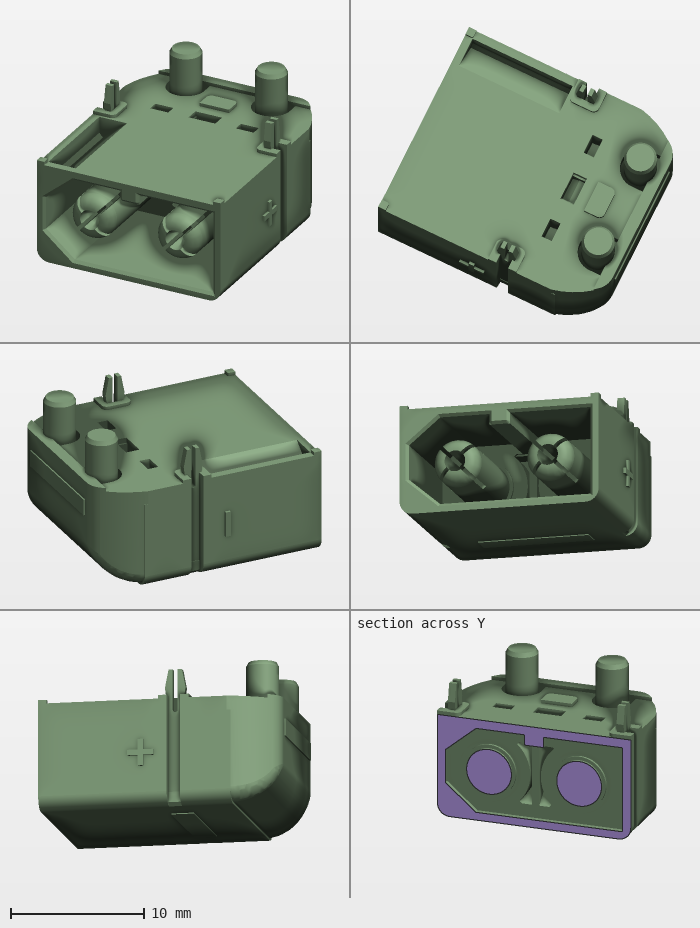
import cadquery as cq
import math


WIDTH = 15.5
HALF_WIDTH = WIDTH / 2
LENGTH = 18.19
DECK_Z = 8.1
RAISED_Z = 8.38
CORNER_RADIUS = 1.0
SHOULDER_Y = 14.71
SHOULDER_Z = 7.03

CAP_START_Y = 14.42
CAP_BOTTOM_Z = 0.18
CAP_BEND_Z = 3.15
CAP_EDGE_MARGIN = 0.04
CAP_BACK_HALF_WIDTH = 5.6
CAP_BACK_RADIUS = 1.55
CAP_FLANK_POINT = (7.23, 15.98)
CAP_BEND_POINT = (17.05, 1.19)
RIM_Y = 17.3

CAVITY_HALF_WIDTH = 7.28
CAVITY_BOTTOM_Z = 0.44
CAVITY_TOP_Z = 7.58
CAVITY_DEPTH = 9.52
CAVITY_BEVEL_X = -4.72
CAVITY_BEVEL_LOW_Z = 2.6
CAVITY_BEVEL_HIGH_Z = 5.45
KEY_HALF_WIDTH = 0.57
KEY_BOTTOM_Z = 6.75
LEAD_IN = 0.22

POLE_X = 3.6
CONTACT_Z = 4.03
CONTACT_RADIUS = 1.81
CONTACT_TIP_Y = 0.6
CONTACT_TIP_ROUND = 0.99
CONTACT_BORE_RADIUS = 0.8
CONTACT_BORE_DEPTH = 4.58
CONTACT_BORE_CONE_DEPTH = 0.45
CONTACT_SLIT_WIDTH = 0.31
CONTACT_SLIT_DEPTH = 3.66
COLLAR_RADIUS = 2.09
COLLAR_HEIGHT = 0.18
BARREL_STEP_Y = 12.32
BARREL_END_Y = 13.72
BARREL_RADIUS = 1.9
PIN_RADIUS = 1.25
PIN_Y = 16.32
PIN_TOP_Z = 11.38
PIN_CHAMFER_RADIAL = 0.18
PIN_CHAMFER_HEIGHT = 0.33
WELL_RADIUS = 1.54
PIN_FLARE_HEIGHT = 0.55
PIN_FLARE_LAND = 0.02

RECESS_FOOT_HALF_WIDTH = 1.26
RECESS_TOP_HALF_WIDTH = 1.48
RECESS_CORNER = 0.18
RECESS_BOTTOM_Z = 1.68
RECESS_TOP_Z = 6.57
RECESS_DEPTH = 1.83
RECESS_STEP_DEPTH = 0.18
RECESS_SIDE_RADIUS = 3.18
RAMP_HEIGHT = 1.54
WEB_WIDTH = 0.59
WEB_TOP_Z = 6.42

GROOVE_START_Y = 0.62
GROOVE_END_Y = 8.97
GROOVE_OUTER_X = -7.1
GROOVE_INNER_X = -4.78
GROOVE_ROOT_X = -6.8
GROOVE_ROOT_Z = 6.42
GROOVE_WALL_FOOT_Z = 6.77

WINDOW_FRONT_Y = 11.97
SIDE_WINDOW_WIDTH = 1.52
SIDE_WINDOW_LENGTH = 0.85
SIDE_WINDOW_BOTTOM_Z = 4.75
MIDDLE_WINDOW_WIDTH = 2.25
MIDDLE_WINDOW_FOOT_WIDTH = 1.94
MIDDLE_WINDOW_LEDGE_Z = 7.69
MIDDLE_WINDOW_BACK_Y = 13.07
MIDDLE_WINDOW_STEP_Y = 12.54
MIDDLE_WINDOW_STEP_Z = 7.2
MIDDLE_WINDOW_BOTTOM_Z = 6.77

CORNER_PAD = 0.62
CORNER_PAD_ROUND = 0.15
CENTRE_PAD_WIDTH = 2.49
CENTRE_PAD_FRONT_Y = 13.98
CENTRE_PAD_LENGTH = 1.52
LOCK_PAD_DEPTH = 1.83
LOCK_PAD_LENGTH = 2.36
PAD_ROUND = 0.44

LOCK_Y = 10.34
LOCK_OUTER_X = 7.03
LOCK_THICKNESS = 0.57
LOCK_TOP_Z = 10.45
LOCK_BULGE_Z = 9.04
LOCK_TOP_HALF = 0.51
LOCK_BULGE_HALF = 0.79
LOCK_ROOT_HALF = 0.7
LOCK_SLIT_WIDTH = 0.38
LOCK_SLIT_BOTTOM_Z = 7.17
NOTCH_WIDTH = 1.0
NOTCH_FLOOR_X = 7.08
NOTCH_SILL_Z = 1.06
NOTCH_FOOT_CHAMFER = 0.27

MARK_Y = 7.85
MARK_LENGTH = 2.03
MARK_WIDTH = 0.42
MARK_HEIGHT = 0.2
REAR_LABEL_WIDTH = 9.25
REAR_LABEL_BOTTOM_Z = 5.53
REAR_LABEL_TOP_Z = 6.85
REAR_LABEL_HEIGHT = 0.11
BASE_LABEL_WIDTH = 8.6
BASE_LABEL_LENGTH = 1.72
BASE_LABEL_HEIGHT = 0.07


def block(x_range, y_range, z_range):
    """Box given by its limits along X, Y and Z."""
    lows, highs = zip(x_range, y_range, z_range)
    sizes = [high - low for low, high in zip(lows, highs)]
    return cq.Workplane("XY").box(*sizes, centered=False).translate(lows)


def centred(middle, size):
    """Limits of a length placed symmetrically about a middle."""
    return (middle - size / 2, middle + size / 2)


def rod(x, y_start, y_end, radius):
    """Cylinder along Y at the height of the contacts."""
    plane = cq.Workplane("XZ", origin=(x, y_start, CONTACT_Z))
    return plane.circle(radius).extrude(y_start - y_end)


def prism_along_y(points, y_start, y_end, taper=0):
    """Polygon given in X and Z, extruded towards +Y."""
    plane = cq.Plane(origin=(0, y_start, 0), xDir=(-1, 0, 0), normal=(0, 1, 0))
    mirrored = [(-x, z) for x, z in points]
    return cq.Workplane(plane).polyline(mirrored).close().extrude(y_end - y_start, taper=taper)


def both_sides(solid):
    """The solid together with its mirror image across X = 0."""
    return solid.union(solid.mirror("YZ"))


def rear_cap():
    """Rear end: rounded in plan, with its back bent into the underside."""
    flank_x, flank_y = CAP_FLANK_POINT
    plan = (
        cq.Workplane("XY")
        .moveTo(-HALF_WIDTH, CAP_START_Y)
        .threePointArc((-flank_x, flank_y), (-CAP_BACK_HALF_WIDTH, LENGTH))
        .lineTo(CAP_BACK_HALF_WIDTH, LENGTH)
        .threePointArc((flank_x, flank_y), (HALF_WIDTH, CAP_START_Y))
        .close()
        .extrude(RAISED_Z)
        .edges("|Z and >Y")
        .fillet(CAP_BACK_RADIUS)
    )
    side = (
        cq.Workplane("YZ")
        .moveTo(CAP_START_Y, CAP_BOTTOM_Z)
        .lineTo(SHOULDER_Y, CAP_BOTTOM_Z)
        .threePointArc(CAP_BEND_POINT, (LENGTH, CAP_BEND_Z))
        .lineTo(LENGTH, RAISED_Z)
        .lineTo(RIM_Y, RAISED_Z)
        .lineTo(RIM_Y, DECK_Z)
        .lineTo(CAP_START_Y, DECK_Z)
        .close()
        .extrude(WIDTH, both=True)
    )
    cap = plan.intersect(side)
    lower_outline = cq.selectors.BoxSelector(
        (-WIDTH, CAP_START_Y + CAP_EDGE_MARGIN, 0),
        (WIDTH, LENGTH - CAP_EDGE_MARGIN, CAP_BEND_Z),
    )
    return cap.edges(lower_outline).fillet(CORNER_RADIUS)


def housing_shell():
    """Main block with rounded lower edges, joined to the rear cap."""
    lower = block((-HALF_WIDTH, HALF_WIDTH), (0, SHOULDER_Y), (0, SHOULDER_Z))
    lower = lower.edges("|Y and <Z").fillet(CORNER_RADIUS)
    upper = block((-HALF_WIDTH, HALF_WIDTH), (0, CAP_START_Y), (SHOULDER_Z, DECK_Z))
    return lower.union(upper).union(rear_cap())


def cavity():
    """Keyed mating opening with a lead-in chamfer."""
    def outline(inset):
        bevel_rise = CAVITY_TOP_Z - CAVITY_BEVEL_HIGH_Z
        bevel_run = CAVITY_HALF_WIDTH + CAVITY_BEVEL_X
        bevel_angle = math.atan2(bevel_rise, bevel_run)
        corner_x = inset * math.tan(bevel_angle / 2)
        corner_z = inset * math.tan((math.pi / 2 - bevel_angle) / 2)
        side = CAVITY_HALF_WIDTH - inset
        bottom = CAVITY_BOTTOM_Z + inset
        top = CAVITY_TOP_Z - inset
        key = KEY_HALF_WIDTH + inset
        return [
            (CAVITY_BEVEL_X + corner_x, bottom),
            (side, bottom),
            (side, top),
            (key, top),
            (key, KEY_BOTTOM_Z - inset),
            (-key, KEY_BOTTOM_Z - inset),
            (-key, top),
            (CAVITY_BEVEL_X + corner_x, top),
            (-side, CAVITY_BEVEL_HIGH_Z - corner_z),
            (-side, CAVITY_BEVEL_LOW_Z + corner_z),
        ]

    lead_in = prism_along_y(outline(0), 0, LEAD_IN, taper=45)
    return lead_in.union(prism_along_y(outline(LEAD_IN), 0, CAVITY_DEPTH))


def insulating_recess():
    """Waisted recess in the cavity floor: shallow head, ramp at its foot and a central web."""
    end_y = CAVITY_DEPTH + RECESS_DEPTH
    y_range = (CAVITY_DEPTH, end_y)
    half = [
        (RECESS_FOOT_HALF_WIDTH - RECESS_CORNER, RECESS_BOTTOM_Z),
        (RECESS_FOOT_HALF_WIDTH, RECESS_BOTTOM_Z + RECESS_CORNER),
        (RECESS_TOP_HALF_WIDTH, RECESS_TOP_Z - RECESS_CORNER),
        (RECESS_TOP_HALF_WIDTH - RECESS_CORNER, RECESS_TOP_Z),
    ]
    recess = prism_along_y(half + [(-x, z) for x, z in reversed(half)], *y_range)
    for x in (-POLE_X, POLE_X):
        recess = recess.cut(rod(x, CAVITY_DEPTH, end_y, RECESS_SIDE_RADIUS))
    ramp = (
        cq.Workplane("YZ")
        .moveTo(CAVITY_DEPTH, RECESS_BOTTOM_Z)
        .lineTo(end_y, RECESS_BOTTOM_Z)
        .lineTo(end_y, RECESS_BOTTOM_Z + RAMP_HEIGHT)
        .close()
        .extrude(RECESS_TOP_HALF_WIDTH, both=True)
    )
    web = block(centred(0, WEB_WIDTH), y_range, (RECESS_BOTTOM_Z, WEB_TOP_Z))
    step_y = (CAVITY_DEPTH + RECESS_STEP_DEPTH, end_y)
    step = block(centred(0, 2 * RECESS_TOP_HALF_WIDTH), step_y, (WEB_TOP_Z, RECESS_TOP_Z))
    return recess.cut(ramp).cut(web).cut(step)


def bevel_groove():
    """Groove in the deck that follows the beveled corner of the cavity."""
    section = [
        (GROOVE_OUTER_X, DECK_Z),
        (GROOVE_INNER_X, DECK_Z),
        (GROOVE_ROOT_X, GROOVE_ROOT_Z),
        (GROOVE_OUTER_X, GROOVE_WALL_FOOT_Z),
    ]
    return prism_along_y(section, GROOVE_START_Y, GROOVE_END_Y)


def deck_windows():
    """Two windows over the contact barrels and a stepped one between them."""
    side = block(
        centred(POLE_X, SIDE_WINDOW_WIDTH),
        (WINDOW_FRONT_Y, WINDOW_FRONT_Y + SIDE_WINDOW_LENGTH),
        (SIDE_WINDOW_BOTTOM_Z, DECK_Z),
    )
    middle = (
        cq.Workplane("YZ")
        .moveTo(WINDOW_FRONT_Y, DECK_Z)
        .lineTo(MIDDLE_WINDOW_BACK_Y, DECK_Z)
        .lineTo(MIDDLE_WINDOW_BACK_Y, MIDDLE_WINDOW_STEP_Z)
        .lineTo(MIDDLE_WINDOW_STEP_Y, MIDDLE_WINDOW_STEP_Z)
        .lineTo(WINDOW_FRONT_Y, MIDDLE_WINDOW_BOTTOM_Z)
        .close()
        .extrude(MIDDLE_WINDOW_FOOT_WIDTH / 2, both=True)
    )
    mouth = block(
        centred(0, MIDDLE_WINDOW_WIDTH),
        (WINDOW_FRONT_Y, MIDDLE_WINDOW_BACK_Y),
        (MIDDLE_WINDOW_LEDGE_Z, DECK_Z),
    )
    return both_sides(side).union(middle).union(mouth)


def pin_wells():
    """Round-ended clearances in the deck around the solder pins, closed by the rear rim."""
    z_range = (SHOULDER_Z, RAISED_Z)
    well = cq.Workplane("XY", origin=(POLE_X, PIN_Y, SHOULDER_Z)).circle(WELL_RADIUS)
    well = well.extrude(RAISED_Z - SHOULDER_Z)
    well = well.union(block(centred(POLE_X, 2 * WELL_RADIUS), (PIN_Y, RIM_Y), z_range))
    limit = block((0, HALF_WIDTH), (0, RIM_Y), z_range)
    return both_sides(well.intersect(limit))


def solder_pins():
    """Vertical board pins with chamfered tips and a conical flare in the wells."""
    height = PIN_TOP_Z - CONTACT_Z
    pin = cq.Workplane("XY", origin=(POLE_X, PIN_Y, CONTACT_Z)).circle(PIN_RADIUS).extrude(height)
    pin = pin.faces(">Z").chamfer(PIN_CHAMFER_HEIGHT, PIN_CHAMFER_RADIAL)
    flare = cq.Workplane("XY", origin=(POLE_X, PIN_Y, SHOULDER_Z)).circle(WELL_RADIUS)
    flare = flare.extrude(PIN_FLARE_HEIGHT).faces(">Z")
    flare = flare.chamfer(PIN_FLARE_HEIGHT - PIN_FLARE_LAND, WELL_RADIUS - PIN_RADIUS)
    return both_sides(pin.union(flare))


def contact(x):
    """Round-nosed contact, bored and slit crosswise at its tip, with a collar and a thicker rear barrel."""
    body = rod(x, CONTACT_TIP_Y, BARREL_END_Y, CONTACT_RADIUS)
    body = body.faces("<Y").edges().fillet(CONTACT_TIP_ROUND)
    bore_end_y = CONTACT_TIP_Y + CONTACT_BORE_DEPTH
    bore = (
        cq.Workplane("XY", origin=(x, 0, CONTACT_Z))
        .moveTo(0, CONTACT_TIP_Y)
        .lineTo(CONTACT_BORE_RADIUS, CONTACT_TIP_Y)
        .lineTo(CONTACT_BORE_RADIUS, bore_end_y)
        .lineTo(0, bore_end_y + CONTACT_BORE_CONE_DEPTH)
        .close()
        .revolve(360, (0, 0, 0), (0, 1, 0))
    )
    body = body.cut(bore)
    slit = block(
        centred(0, CONTACT_SLIT_WIDTH),
        (CONTACT_TIP_Y, CONTACT_TIP_Y + CONTACT_SLIT_DEPTH),
        centred(0, 2 * COLLAR_RADIUS),
    )
    for angle in (-45, 45):
        turned = slit.rotate((0, 0, 0), (0, 1, 0), angle)
        body = body.cut(turned.translate((x, 0, CONTACT_Z)))
    collar = rod(x, CAVITY_DEPTH - COLLAR_HEIGHT, CAVITY_DEPTH, COLLAR_RADIUS)
    barrel = rod(x, BARREL_STEP_Y, BARREL_END_Y, BARREL_RADIUS)
    return body.union(collar).union(barrel)


def deck_pads():
    """Stand-offs: two front corners, two around the board locks, one between the pins."""
    z_range = (DECK_Z, RAISED_Z)
    corner = block((HALF_WIDTH - CORNER_PAD, HALF_WIDTH), (0, CORNER_PAD), z_range)
    corner = corner.edges("|Z and <X and >Y").fillet(CORNER_PAD_ROUND)
    lock = block((HALF_WIDTH - LOCK_PAD_DEPTH, HALF_WIDTH), centred(LOCK_Y, LOCK_PAD_LENGTH), z_range)
    lock = lock.edges("|Z and <X").fillet(PAD_ROUND)
    centre_y = (CENTRE_PAD_FRONT_Y, CENTRE_PAD_FRONT_Y + CENTRE_PAD_LENGTH)
    centre = block(centred(0, CENTRE_PAD_WIDTH), centre_y, z_range)
    centre = centre.edges("|Z and >Y").fillet(PAD_ROUND)
    return both_sides(corner.union(lock)).union(centre)


def lock_notches():
    """Full-height side notches, chamfered at the foot and a little deeper above the sill."""
    y_range = centred(LOCK_Y, NOTCH_WIDTH)
    section = [
        (NOTCH_FLOOR_X - NOTCH_FOOT_CHAMFER, 0),
        (HALF_WIDTH, 0),
        (HALF_WIDTH, RAISED_Z),
        (NOTCH_FLOOR_X, RAISED_Z),
        (NOTCH_FLOOR_X, NOTCH_FOOT_CHAMFER),
    ]
    full = prism_along_y(section, *y_range)
    deep = block((LOCK_OUTER_X, HALF_WIDTH), y_range, (NOTCH_SILL_Z, RAISED_Z))
    return both_sides(full.union(deep))


def lock_prongs():
    """Barbed board-lock plates above the deck pads."""
    inner_x = LOCK_OUTER_X - LOCK_THICKNESS
    half = [
        (LOCK_ROOT_HALF, DECK_Z),
        (LOCK_ROOT_HALF, RAISED_Z),
        (LOCK_BULGE_HALF, LOCK_BULGE_Z),
        (LOCK_TOP_HALF, LOCK_TOP_Z),
    ]
    outline = half + [(-y, z) for y, z in reversed(half)]
    plate = cq.Workplane("YZ", origin=(inner_x, LOCK_Y, 0)).polyline(outline).close()
    return both_sides(plate.extrude(LOCK_THICKNESS))


def lock_slits():
    """Round-bottomed slits that split the board locks into two prongs."""
    radius = LOCK_SLIT_WIDTH / 2
    slit = (
        cq.Workplane("YZ", origin=(LOCK_OUTER_X - LOCK_THICKNESS, LOCK_Y, 0))
        .moveTo(-radius, LOCK_TOP_Z)
        .lineTo(-radius, LOCK_SLIT_BOTTOM_Z + radius)
        .threePointArc((0, LOCK_SLIT_BOTTOM_Z), (radius, LOCK_SLIT_BOTTOM_Z + radius))
        .lineTo(radius, LOCK_TOP_Z)
        .close()
        .extrude(LOCK_THICKNESS)
    )
    return both_sides(slit)


def polarity_marks():
    """Raised minus on the left side and plus on the right side."""
    short_y, long_y = centred(MARK_Y, MARK_WIDTH), centred(MARK_Y, MARK_LENGTH)
    short_z, long_z = centred(CONTACT_Z, MARK_WIDTH), centred(CONTACT_Z, MARK_LENGTH)
    upright = block((HALF_WIDTH, HALF_WIDTH + MARK_HEIGHT), short_y, long_z)
    level = block((HALF_WIDTH, HALF_WIDTH + MARK_HEIGHT), long_y, short_z)
    return both_sides(upright).union(level)


def label_panels():
    """Plain raised panels on the back and on the underside."""
    rear = block(
        centred(0, REAR_LABEL_WIDTH),
        (LENGTH, LENGTH + REAR_LABEL_HEIGHT),
        (REAR_LABEL_BOTTOM_Z, REAR_LABEL_TOP_Z),
    )
    base = block(centred(0, BASE_LABEL_WIDTH), centred(LOCK_Y, BASE_LABEL_LENGTH), (-BASE_LABEL_HEIGHT, 0))
    return rear.union(base)


housing = housing_shell().union(deck_pads())
for opening in (cavity(), insulating_recess(), bevel_groove(), deck_windows(), pin_wells(), lock_notches()):
    housing = housing.cut(opening)

result = housing.union(lock_prongs()).cut(lock_slits())
for addition in (solder_pins(), contact(-POLE_X), contact(POLE_X), polarity_marks(), label_panels()):
    result = result.union(addition)